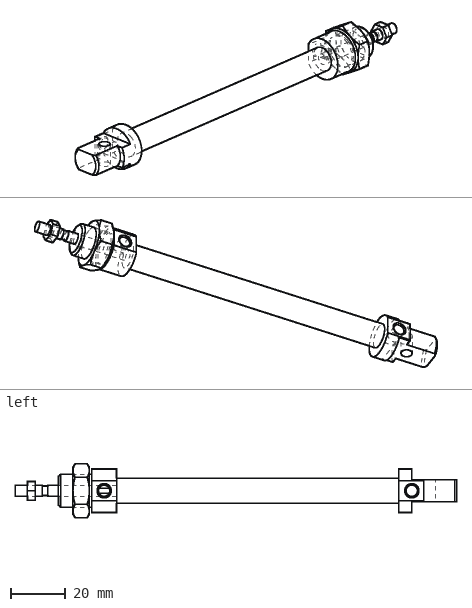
import cadquery as cq
import math

ROD_TIP_Y = 80.5
GROOVE_TOP_Y = 70.5
GROOVE_BOTTOM_Y = 68.6
NECK_TOP_Y = 64.7
HEAD_TOP_Y = 52.6
HEAD_BOTTOM_Y = 43.5
CAP_TOP_Y = -59.2
CAP_FLATS_TOP_Y = -64.0
CAP_BOTTOM_Y = -68.5
TONGUE_END_Y = -80.5

CAP_DIAMETER = 16.0
PORT_FACE_X = -7.1
TUBE_DIAMETER = 9.2
NECK_DIAMETER = 12.0
TONGUE_DIAMETER = NECK_DIAMETER
TONGUE_THICKNESS = 8.0
END_CHAMFER = 0.8
PIVOT_HOLE_DIAMETER = 4.0
PIVOT_HOLE_Y = -70.5
PORT_DIAMETER = 4.2
PORT_CHAMFER = 0.5
PORT_FLOOR_X = -1.8
HEAD_PORT_Y = (HEAD_TOP_Y + HEAD_BOTTOM_Y) / 2
CAP_PORT_Y = CAP_FLATS_TOP_Y

ROD_DIAMETER = 4.0
GROOVE_DIAMETER = 3.5
ROD_BASE_Y = HEAD_TOP_Y
ROD_BORE_BOTTOM_Y = HEAD_BOTTOM_Y

MOUNT_NUT_FLATS = 17.0
MOUNT_NUT_BOTTOM_Y = 53.5
MOUNT_NUT_TOP_Y = 59.4
NUT_CHAMFER_ANGLE = 30
ROD_NUT_FLATS = 7.0
ROD_NUT_BOTTOM_Y = 73.1
ROD_NUT_TOP_Y = 76.0


def cylinder(diameter, bottom_y, top_y):
    """Round bar on the Y axis."""
    bar = cq.Workplane("XZ", origin=(0, bottom_y, 0)).circle(diameter / 2)
    return bar.extrude(bottom_y - top_y)


def block(size_x, size_z, bottom_y, top_y):
    """Rectangular bar centred on the Y axis."""
    bar = cq.Workplane("XZ", origin=(0, bottom_y, 0)).rect(size_x, size_z)
    return bar.extrude(bottom_y - top_y)


def port_collar(bottom_y, top_y):
    """Round collar with a flat port face on its -X side."""
    width = CAP_DIAMETER / 2 - PORT_FACE_X
    envelope = block(width, CAP_DIAMETER, bottom_y, top_y)
    envelope = envelope.translate((PORT_FACE_X + width / 2, 0, 0))
    return cylinder(CAP_DIAMETER, bottom_y, top_y).intersect(envelope)


def port(y):
    """Flat-bottomed port with a chamfered mouth, entering from the -X face."""
    mouth_radius = PORT_DIAMETER / 2 + PORT_CHAMFER
    bore = cq.Workplane("YZ", origin=(PORT_FACE_X, y, 0)).circle(PORT_DIAMETER / 2)
    bore = bore.extrude(PORT_FLOOR_X - PORT_FACE_X)
    mouth = cq.Workplane("YZ", origin=(PORT_FACE_X, y, 0)).circle(mouth_radius)
    mouth = mouth.workplane(offset=PORT_CHAMFER).circle(PORT_DIAMETER / 2).loft()
    return bore.union(mouth)


def make_head():
    neck = cylinder(NECK_DIAMETER, HEAD_TOP_Y, NECK_TOP_Y).faces(">Y").chamfer(END_CHAMFER)
    return port_collar(HEAD_BOTTOM_Y, HEAD_TOP_Y).union(neck)


def make_end_cap():
    collar = port_collar(CAP_FLATS_TOP_Y, CAP_TOP_Y)
    shoulder = port_collar(CAP_BOTTOM_Y, CAP_FLATS_TOP_Y)
    tongue = cylinder(TONGUE_DIAMETER, TONGUE_END_Y, CAP_BOTTOM_Y).faces("<Y").chamfer(END_CHAMFER)
    flats = block(CAP_DIAMETER, TONGUE_THICKNESS, TONGUE_END_Y, CAP_FLATS_TOP_Y)
    flattened = shoulder.union(tongue).intersect(flats)
    pivot_hole = cq.Workplane("XY", origin=(0, PIVOT_HOLE_Y, 0)).circle(PIVOT_HOLE_DIAMETER / 2)
    pivot_hole = pivot_hole.extrude(TONGUE_THICKNESS, both=True)
    return collar.union(flattened).cut(pivot_hole)


def make_housing():
    tube = cylinder(TUBE_DIAMETER, CAP_TOP_Y, HEAD_BOTTOM_Y)
    housing = make_head().union(tube).union(make_end_cap())
    housing = housing.cut(cylinder(ROD_DIAMETER, ROD_BORE_BOTTOM_Y, NECK_TOP_Y))
    for y in (HEAD_PORT_Y, CAP_PORT_Y):
        housing = housing.cut(port(y))
    return housing


def make_rod():
    rod = cylinder(ROD_DIAMETER, ROD_BASE_Y, GROOVE_BOTTOM_Y)
    rod = rod.union(cylinder(GROOVE_DIAMETER, GROOVE_BOTTOM_Y, GROOVE_TOP_Y))
    return rod.union(cylinder(ROD_DIAMETER, GROOVE_TOP_Y, ROD_TIP_Y))


def hex_nut(across_flats, bore, bottom_y, top_y, corner_angle):
    """Hexagonal nut on the Y axis with its first corner at the given angle from +X toward +Z."""
    across_corners = across_flats / math.cos(math.pi / 6)
    blank = cq.Workplane("XZ", origin=(0, bottom_y, 0)).polygon(6, across_corners)
    blank = blank.extrude(bottom_y - top_y)
    blank = blank.rotate((0, 0, 0), (0, 1, 0), corner_angle)
    return blank.cut(cylinder(bore, bottom_y, top_y))


def make_mount_nut():
    nut = hex_nut(MOUNT_NUT_FLATS, NECK_DIAMETER, MOUNT_NUT_BOTTOM_Y, MOUNT_NUT_TOP_Y, 90)
    corner_radius = MOUNT_NUT_FLATS / 2 / math.cos(math.pi / 6)
    face_radius = MOUNT_NUT_FLATS / 2
    cone_height = (corner_radius - face_radius) * math.tan(math.radians(NUT_CHAMFER_ANGLE))
    turned = cylinder(2 * corner_radius, MOUNT_NUT_BOTTOM_Y, MOUNT_NUT_TOP_Y)
    turned = turned.faces("<Y or >Y").chamfer(cone_height, corner_radius - face_radius)
    return nut.intersect(turned)


def make_rod_nut():
    return hex_nut(ROD_NUT_FLATS, ROD_DIAMETER, ROD_NUT_BOTTOM_Y, ROD_NUT_TOP_Y, 0)


housing = make_housing()
rod = make_rod()
mount_nut = make_mount_nut()
rod_nut = make_rod_nut()

result = cq.Compound.makeCompound([housing.val(), rod.val(), mount_nut.val(), rod_nut.val()])